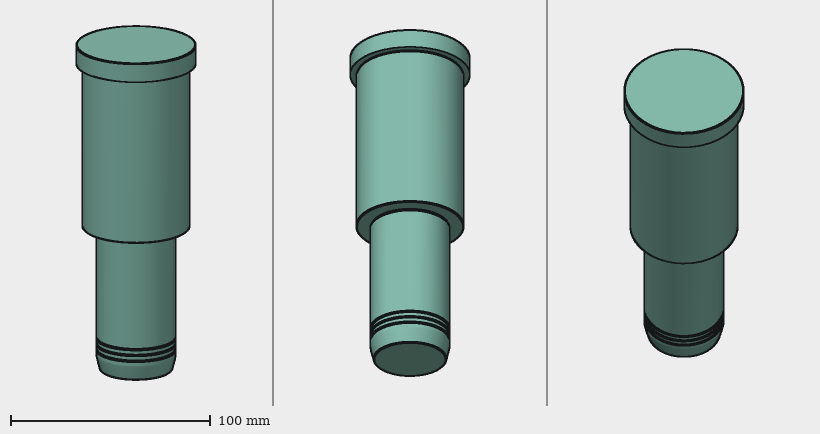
import cadquery as cq

total_height = 171.0
head_height = 10.0
pin_length = 75.0
head_bottom = total_height - head_height

head_radius = 60.0 / 2
body_radius = 54.0 / 2
pin_radius = 40.0 / 2

edge_chamfer = 0.5
relief_depth = 0.5
relief_height = 1.0

nose_height = 8.0
nose_end_radius = 18.3
nose_mid_radius = 19.3
nose_chamfer = 0.5

groove_count = 3
groove_pitch = 3.0
groove_width = 1.0
groove_depth = 0.5
lowest_groove_center = 10.6


def cylinder(radius, bottom, top):
    """Solid cylinder on the Z axis between two heights."""
    return cq.Workplane("XY").workplane(offset=bottom).circle(radius).extrude(top - bottom)


def ring_cut(radius, depth, bottom, height):
    """Ring that reduces a given outer radius by depth."""
    outer = cylinder(radius + depth, bottom, bottom + height)
    return outer.cut(cylinder(radius - depth, bottom, bottom + height))


def vee_cut(radius, center):
    """Ring with a triangular section that forms a V-groove at a given height."""
    return (
        cq.Workplane("XZ")
        .moveTo(radius, center - groove_width / 2)
        .lineTo(radius - groove_depth, center)
        .lineTo(radius, center + groove_width / 2)
        .close()
        .revolve(360, (0, 0, 0), (0, 1, 0))
    )


def make_pin():
    """Guide pin with a convex, tapered nose."""
    nose_mid = (nose_mid_radius, (nose_height + nose_chamfer) / 2)
    return (
        cq.Workplane("XZ")
        .moveTo(0, 0)
        .lineTo(nose_end_radius - nose_chamfer, 0)
        .lineTo(nose_end_radius, nose_chamfer)
        .threePointArc(nose_mid, (pin_radius, nose_height))
        .lineTo(pin_radius, pin_length)
        .lineTo(0, pin_length)
        .close()
        .revolve(360, (0, 0, 0), (0, 1, 0))
    )


head = cylinder(head_radius, head_bottom, total_height).faces(">Z").edges().chamfer(edge_chamfer)
body = cylinder(body_radius, pin_length, head_bottom).faces("<Z").edges().chamfer(edge_chamfer)

body = body.cut(ring_cut(body_radius, relief_depth, head_bottom - relief_height / 2, relief_height / 2))
body = body.cut(vee_cut(body_radius, head_bottom - relief_height / 2))
pin = make_pin()
pin = pin.cut(ring_cut(pin_radius, relief_depth, pin_length - relief_height, relief_height))

for index in range(groove_count):
    pin = pin.cut(vee_cut(pin_radius, lowest_groove_center + index * groove_pitch))

result = head.union(body).union(pin)